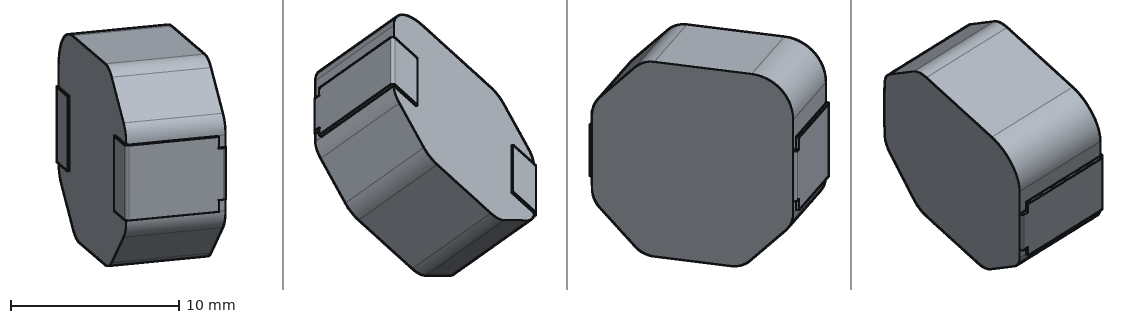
import cadquery as cq

overall_width = 13.0
overall_depth = 6.35
core_height = 12.5

strip_thickness = 0.2
foot_thickness = 0.1
bend_radius = 0.2
terminal_height = 4.65
foot_length = 2.21
tab_height = 3.2
shoulder_depth = 0.5

core_width = overall_width - 2 * strip_thickness
core_depth = overall_depth - foot_thickness
corner_cut = 3.2
cut_blend_radius = 1.69
round_corner_radius = 2.6

core_front = -core_depth / 2
core_back = core_depth / 2
foot_front = core_front - foot_thickness


def make_core():
    """Solid block whose -X, +Z corner is round and whose other corners are cut."""
    side = core_width / 2
    top = core_height / 2
    outline = [
        (-side, top),
        (side - corner_cut, top),
        (side, top - corner_cut),
        (side, corner_cut - top),
        (side - corner_cut, -top),
        (corner_cut - side, -top),
        (-side, corner_cut - top),
    ]
    block = (
        cq.Workplane("XZ")
        .polyline(outline)
        .close()
        .extrude(core_depth / 2, both=True)
    )
    block = block.edges("|Y").edges("not (<X and >Z)").fillet(cut_blend_radius)
    return block.edges("|Y").edges("<X and >Z").fillet(round_corner_radius)


def make_terminal():
    """L-shaped strip on the -X side: a foot on the core front and a side leg."""
    outer_side = -overall_width / 2
    leg = (
        cq.Workplane("XY")
        .box(strip_thickness, overall_depth, terminal_height, centered=(False, False, True))
        .translate((outer_side, foot_front, 0))
    )
    foot = (
        cq.Workplane("XY")
        .box(foot_length, foot_thickness, terminal_height, centered=(False, False, True))
        .translate((outer_side, foot_front, 0))
    )
    strip = leg.union(foot)

    blank = (
        cq.Workplane("XY")
        .box(2 * foot_length, overall_depth, terminal_height, centered=(False, False, True))
        .translate((outer_side, foot_front, 0))
        .edges("|Z and <X")
        .fillet(bend_radius)
    )
    strip = strip.intersect(blank)

    shoulder_height = (terminal_height - tab_height) / 2
    for side in (-1, 1):
        shoulder = (
            cq.Workplane("XY")
            .box(strip_thickness, shoulder_depth, shoulder_height)
            .translate((
                outer_side + strip_thickness / 2,
                core_back - shoulder_depth / 2,
                side * (tab_height + shoulder_height) / 2,
            ))
        )
        strip = strip.cut(shoulder)
    return strip


core = make_core()
left_terminal = make_terminal()
terminals = [left_terminal, left_terminal.mirror("YZ")]

result = cq.Compound.makeCompound([core.val(), *[terminal.val() for terminal in terminals]])